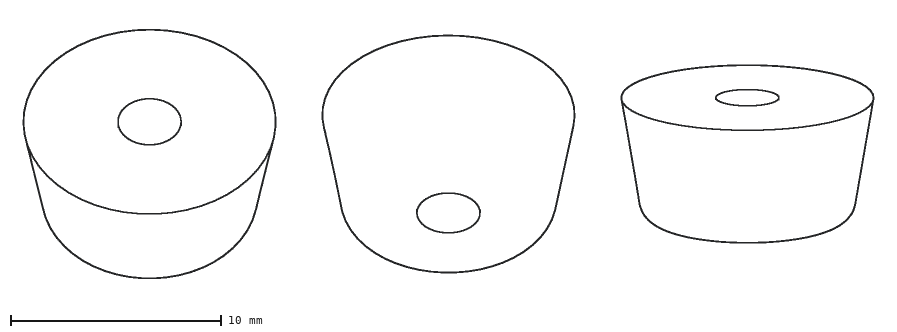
import cadquery as cq

top_diameter = 12.0
bottom_diameter = 10.0
height = 6.0
hole_diameter = 3.0
bottom_edge_radius = 1.0

body = (
    cq.Workplane("XZ")
    .polyline([
        (0, 0),
        (bottom_diameter / 2, 0),
        (top_diameter / 2, height),
        (0, height),
    ])
    .close()
    .revolve(360, (0, 0, 0), (0, 1, 0))
)

body = body.faces("<Z").edges().fillet(bottom_edge_radius)

result = body.faces(">Z").workplane(origin=(0, 0, height)).hole(hole_diameter)